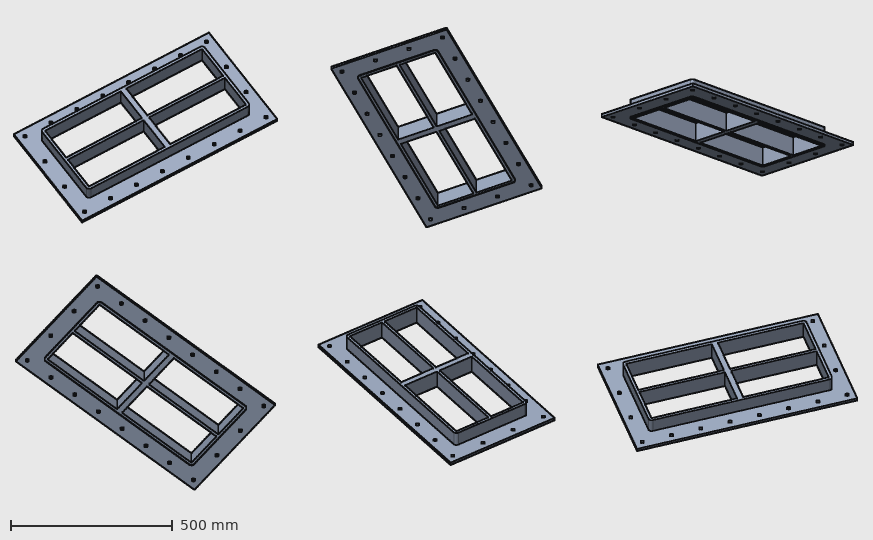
import cadquery as cq

flange_width = 391.0
flange_length = 716.0
flange_thickness = 10.0

frame_inset = 60.0
frame_width = flange_width - 2 * frame_inset
frame_length = flange_length - 2 * frame_inset
frame_height = 60.0
frame_corner_radius = 10.0
lip_below_flange = 3.0

wall_thickness = 10.0
rib_thickness = 10.0
cross_bar_thickness = 20.0
window_width = (frame_width - 2 * wall_thickness - rib_thickness) / 2
window_length = (frame_length - 2 * wall_thickness - cross_bar_thickness) / 2

bolt_hole_diameter = 10.5
bolt_edge_distance = 25.0
bolts_per_short_side = 4
bolts_per_long_side = 8


def bolt_centres():
    """Points of the rectangular bolt pattern, each corner counted once."""
    x_outer = flange_width / 2 - bolt_edge_distance
    y_outer = flange_length / 2 - bolt_edge_distance
    x_pitch = 2 * x_outer / (bolts_per_short_side - 1)
    y_pitch = 2 * y_outer / (bolts_per_long_side - 1)
    points = []
    for side in (-1, 1):
        for i in range(bolts_per_short_side):
            points.append((-x_outer + i * x_pitch, side * y_outer))
        for j in range(1, bolts_per_long_side - 1):
            points.append((side * x_outer, -y_outer + j * y_pitch))
    return points


def make_flange():
    """Flat plate with its bolt holes; its underside lies at the lip height."""
    plate = (
        cq.Workplane("XY")
        .workplane(offset=lip_below_flange)
        .rect(flange_width, flange_length)
        .extrude(flange_thickness)
    )
    return plate.faces(">Z").workplane().pushPoints(bolt_centres()).hole(bolt_hole_diameter)


def make_frame_block():
    """Solid block of the frame with rounded vertical corners."""
    return (
        cq.Workplane("XY")
        .rect(frame_width, frame_length)
        .extrude(frame_height)
        .edges("|Z")
        .fillet(frame_corner_radius)
    )


def make_windows():
    """Cutters for the four sharp-cornered through windows."""
    x_pitch = window_width + rib_thickness
    y_pitch = window_length + cross_bar_thickness
    return (
        cq.Workplane("XY")
        .rarray(x_pitch, y_pitch, 2, 2)
        .rect(window_width, window_length)
        .extrude(frame_height)
    )


result = make_flange().union(make_frame_block()).cut(make_windows())